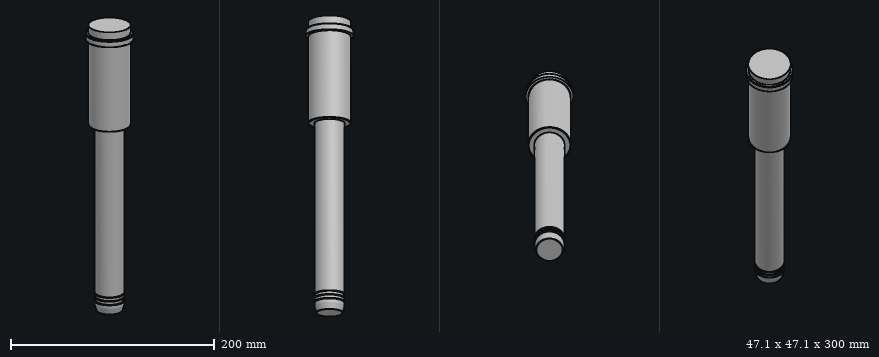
import cadquery as cq
import math

length = 300.0
head_radius = 21.0
collar_radius = 23.55
pin_radius = 15.0

head_bottom = 195.0
collar_bottom = 285.0
collar_top = 291.3

edge_break = 0.5
tip_break = 0.3

groove_count = 3
groove_radius = 0.45
groove_pitch = 4.0
first_groove_height = 10.8

lead_angle = 15.0
lead_top = 7.0
tip_radius = pin_radius - lead_top * math.tan(math.radians(lead_angle))


def make_cylinder(radius, bottom, top):
    """Solid cylinder on the Z axis between two heights."""
    return cq.Workplane("XY").workplane(offset=bottom).circle(radius).extrude(top - bottom)


def make_pin():
    """Slender pin whose lower end tapers to a smaller flat tip."""
    return (
        cq.Workplane("XZ")
        .lineTo(tip_radius - tip_break, 0)
        .lineTo(tip_radius, tip_break)
        .lineTo(pin_radius, lead_top)
        .lineTo(pin_radius, head_bottom)
        .lineTo(0, head_bottom)
        .close()
        .revolve(360, (0, 0), (0, 1))
    )


def make_groove_cutter(height):
    """Torus that cuts a half-round groove around the pin."""
    center = cq.Vector(0, 0, height)
    return cq.Workplane(cq.Solid.makeTorus(pin_radius, groove_radius, center))


head = make_cylinder(head_radius, head_bottom, collar_bottom).faces("<Z or >Z").chamfer(edge_break)

collar = make_cylinder(collar_radius, collar_bottom, collar_top).faces(">Z").chamfer(edge_break)

cap = make_cylinder(head_radius, collar_top, length).faces("<Z").chamfer(edge_break)

result = make_pin().union(head).union(collar).union(cap)
for index in range(groove_count):
    result = result.cut(make_groove_cutter(first_groove_height + index * groove_pitch))